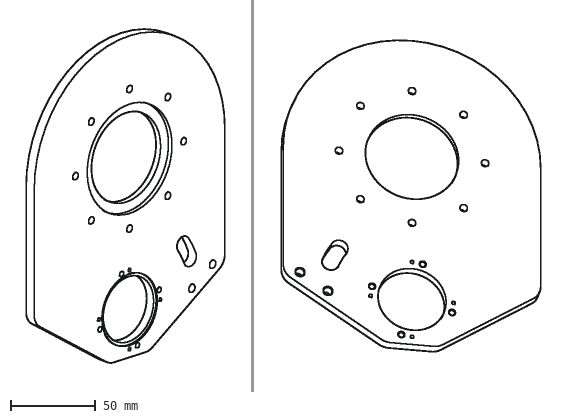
import cadquery as cq
import math

thickness = 7.0
width = 155.0
height = 202.5
top_radius = width / 2
bottom_z = top_radius - height
bottom_half_width = 16.0
shoulder_z = bottom_z + 40.5
corner_radius = 10.0

main_bore_diameter = 56.0
main_recess_diameter = 68.8
main_recess_depth = 3.0
main_bolt_radius = 44.0
main_bolt_count = 8
main_bolt_diameter = 4.5

lower_bore_z = -95.0
lower_bore_diameter = 41.0
lower_recess_diameter = 45.0
lower_recess_depth = 1.0
lower_circle_radius = 25.0
lower_hole_count = 4
pin_diameter = 2.0
screw_diameter = 3.2
screw_offset_angle = 15.0

slot_radius = 53.0
slot_width = 10.3
slot_start_angle = 22.3
slot_end_angle = 34.5

mount_positions = [(67.5, 11.7), (50.6, 0.8)]
mount_diameter = 5.0
edge_chamfer = 0.45


def polar(radius, angle, center_z=0.0):
    """Return the (Y, Z) point at an angle measured from +Y toward +Z."""
    a = math.radians(angle)
    return (radius * math.cos(a), center_z + radius * math.sin(a))


def circle_points(radius, count, start_angle, center_z):
    return [polar(radius, start_angle + i * 360 / count, center_z) for i in range(count)]


def make_plate():
    plate = (
        cq.Workplane("YZ")
        .moveTo(top_radius, 0)
        .threePointArc((0, top_radius), (-top_radius, 0))
        .lineTo(-top_radius, shoulder_z)
        .lineTo(-bottom_half_width, bottom_z)
        .lineTo(bottom_half_width, bottom_z)
        .lineTo(top_radius, shoulder_z)
        .close()
        .extrude(thickness)
    )
    for corner_y, corner_z in (
        (top_radius, shoulder_z),
        (bottom_half_width, bottom_z),
    ):
        for side in (-1, 1):
            corner = (thickness / 2, side * corner_y, corner_z)
            plate = plate.edges(cq.selectors.NearestToPointSelector(corner)).fillet(corner_radius)
    return plate


def hole_cutter(points, diameter):
    return cq.Workplane("YZ").pushPoints(points).circle(diameter / 2).extrude(thickness)


def chamfered_hole_cutter(points, diameter):
    """Through holes with a small chamfer at the -X face."""
    mouths = (
        cq.Workplane("YZ")
        .pushPoints(points)
        .circle(diameter / 2 + edge_chamfer)
        .extrude(edge_chamfer, taper=45)
    )
    return hole_cutter(points, diameter).union(mouths)


def recess_cutter(center_z, diameter, depth):
    """Shallow round recess in the +X face, concentric with a bore."""
    return (
        cq.Workplane("YZ", origin=(thickness - depth, 0, center_z))
        .circle(diameter / 2)
        .extrude(depth)
    )


def slot_cutter():
    middle_angle = (slot_start_angle + slot_end_angle) / 2
    inner = slot_radius - slot_width / 2
    outer = slot_radius + slot_width / 2
    band = (
        cq.Workplane("YZ")
        .moveTo(*polar(inner, slot_start_angle, lower_bore_z))
        .threePointArc(
            polar(inner, middle_angle, lower_bore_z),
            polar(inner, slot_end_angle, lower_bore_z),
        )
        .lineTo(*polar(outer, slot_end_angle, lower_bore_z))
        .threePointArc(
            polar(outer, middle_angle, lower_bore_z),
            polar(outer, slot_start_angle, lower_bore_z),
        )
        .close()
        .extrude(thickness)
    )
    ends = [polar(slot_radius, a, lower_bore_z) for a in (slot_start_angle, slot_end_angle)]
    return band.union(hole_cutter(ends, slot_width))


main_bolts = circle_points(main_bolt_radius, main_bolt_count, 0, 0)
pins = circle_points(lower_circle_radius, lower_hole_count, 0, lower_bore_z)
screws = circle_points(lower_circle_radius, lower_hole_count, screw_offset_angle, lower_bore_z)
mounts = [(y, lower_bore_z + z) for y, z in mount_positions]

result = (
    make_plate()
    .cut(hole_cutter([(0, 0)], main_bore_diameter))
    .cut(recess_cutter(0, main_recess_diameter, main_recess_depth))
    .cut(hole_cutter(main_bolts, main_bolt_diameter))
    .cut(hole_cutter([(0, lower_bore_z)], lower_bore_diameter))
    .cut(recess_cutter(lower_bore_z, lower_recess_diameter, lower_recess_depth))
    .cut(hole_cutter(pins, pin_diameter))
    .cut(chamfered_hole_cutter(screws, screw_diameter))
    .cut(chamfered_hole_cutter(mounts, mount_diameter))
    .cut(slot_cutter())
)